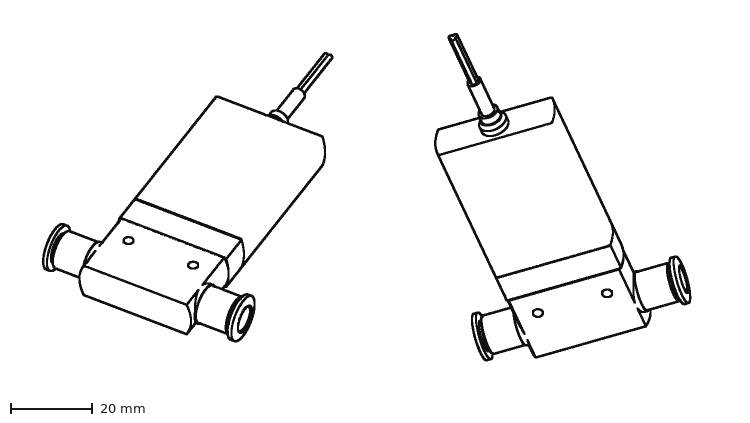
import cadquery as cq
import math


thickness = 10.0
half_width = 15.55
overall_width = 53.5

shoulder_y = 19.1
case_front_y = 26.8
case_back_y = 68.0
gland_taper_y = 69.6
gland_neck_y = 70.8
gland_end_y = 73.0
cable_end_y = 82.9
wire_end_y = 97.8

case_side_radius = 16.6
case_edge_fillet = 0.6
gland_diameter = 7.0
gland_taper_diameter = 5.6
gland_neck_diameter = 5.0
cable_diameter = 3.4
wire_diameter = 1.3
wire_count = 3
first_wire_angle = 30
wire_ring_radius = 0.6

block_side_radius = 10.8
neck_thickness = 9.4
mount_hole_diameter = 2.4
mount_hole_spacing = 18.0
mount_hole_y = 13.0
port_y = 6.9
boss_diameter = 10.2
boss_end_x = 15.7
port_diameter = 4.2
port_floor_x = 9.8

barrel_end_x = 24.4
flange_back_x = 25.1
flange_rim_x = 26.2
fitting_end_x = overall_width / 2
barrel_diameter = 9.8
barrel_chamfer = 0.3
fitting_neck_diameter = 7.8
flange_diameter = 11.8
tube_bore_diameter = 6.4
bore_mouth_diameter = 7.0


def bulged_bar(start_y, end_y, height, side_radius):
    """Bar along Y with flat top and bottom and outward-bulging arc sides."""
    half_height = height / 2
    bulge = side_radius - math.sqrt(side_radius**2 - half_height**2)
    corner_x = half_width - bulge
    return (
        cq.Workplane("XZ", origin=(0, start_y, 0))
        .moveTo(-corner_x, -half_height)
        .lineTo(corner_x, -half_height)
        .threePointArc((half_width, 0), (corner_x, half_height))
        .lineTo(-corner_x, half_height)
        .threePointArc((-half_width, 0), (-corner_x, -half_height))
        .close()
        .extrude(start_y - end_y)
    )


def rod_y(diameter, start_y, end_y, x=0, z=0):
    """Cylinder along Y."""
    return (
        cq.Workplane("XZ", origin=(0, start_y, 0))
        .center(x, z)
        .circle(diameter / 2)
        .extrude(start_y - end_y)
    )


def make_gland():
    """Stepped cable gland on the back of the case."""
    profile = [
        (0, case_back_y),
        (gland_diameter / 2, case_back_y),
        (gland_diameter / 2, gland_taper_y),
        (gland_taper_diameter / 2, gland_neck_y),
        (gland_neck_diameter / 2, gland_neck_y),
        (gland_neck_diameter / 2, gland_end_y),
        (0, gland_end_y),
    ]
    return cq.Workplane("XY").polyline(profile).close().revolve(360, (0, 0), (0, 1))


def make_sensor_case():
    """Case with rounded long edges, its gland, cable and bundle of three wires."""
    case = bulged_bar(case_front_y, case_back_y, thickness, case_side_radius)
    case = case.edges("|Y").fillet(case_edge_fillet)
    case = case.union(make_gland())
    case = case.union(rod_y(cable_diameter, gland_end_y, cable_end_y))
    for index in range(wire_count):
        angle = math.radians(first_wire_angle + index * 360 / wire_count)
        wire_x = wire_ring_radius * math.cos(angle)
        wire_z = wire_ring_radius * math.sin(angle)
        case = case.union(rod_y(wire_diameter, cable_end_y, wire_end_y, wire_x, wire_z))
    return case


def make_flow_block():
    """Block with a thinner neck behind it, two port bosses and two mounting holes."""
    block = bulged_bar(0, shoulder_y, thickness, block_side_radius)
    block = block.union(bulged_bar(shoulder_y, case_front_y, neck_thickness, case_side_radius))

    bosses = (
        cq.Workplane("YZ", origin=(-boss_end_x, port_y, 0))
        .circle(boss_diameter / 2)
        .extrude(2 * boss_end_x)
    )
    trim = cq.Workplane("XY").box(2 * boss_end_x, 2 * shoulder_y, thickness)
    block = block.union(bosses.intersect(trim))

    for side in (-1, 1):
        port = (
            cq.Workplane("YZ", origin=(side * port_floor_x, port_y, 0))
            .circle(port_diameter / 2)
            .extrude(side * (boss_end_x - port_floor_x))
        )
        block = block.cut(port)

    holes = (
        cq.Workplane("XY", origin=(0, mount_hole_y, -thickness / 2))
        .pushPoints([(-mount_hole_spacing / 2, 0), (mount_hole_spacing / 2, 0)])
        .circle(mount_hole_diameter / 2)
        .extrude(thickness)
    )
    return block.cut(holes)


def make_fitting(side):
    """Push-in fitting on the boss at +X (side = 1) or -X (side = -1)."""
    mouth_depth = (bore_mouth_diameter - tube_bore_diameter) / 2
    profile = [
        (boss_end_x, tube_bore_diameter / 2),
        (boss_end_x, barrel_diameter / 2),
        (barrel_end_x - barrel_chamfer, barrel_diameter / 2),
        (barrel_end_x, barrel_diameter / 2 - barrel_chamfer),
        (barrel_end_x, fitting_neck_diameter / 2),
        (flange_back_x, fitting_neck_diameter / 2),
        (flange_back_x, flange_diameter / 2),
        (flange_rim_x, flange_diameter / 2),
        (fitting_end_x, bore_mouth_diameter / 2),
        (fitting_end_x - mouth_depth, tube_bore_diameter / 2),
    ]
    return (
        cq.Workplane("XY", origin=(0, port_y, 0))
        .polyline([(side * x, radius) for x, radius in profile])
        .close()
        .revolve(360, (0, 0), (1, 0))
    )


sensor_case = make_sensor_case()
flow_block = make_flow_block()
fittings = [make_fitting(side) for side in (-1, 1)]

result = cq.Compound.makeCompound(
    [sensor_case.val(), flow_block.val(), *[fitting.val() for fitting in fittings]]
)